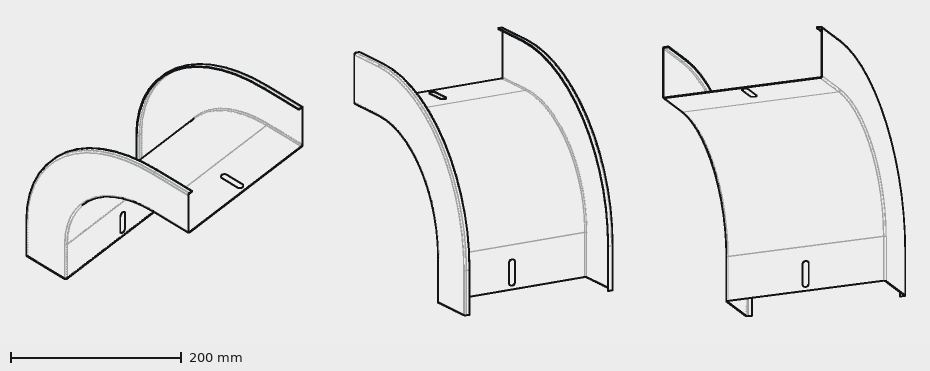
import cadquery as cq
import math

overall_size = 255.0
channel_width = 202.5
channel_depth = 63.5
sheet = 1.3
outer_bend = 2.5
inner_bend = outer_bend - sheet
lip_width = 7.1
outer_radius = 200.0
straight = overall_size - outer_radius

slot_length = 32.1
slot_width = 8.2
slot_from_end = 21.0
recess_depth = sheet / 2


def channel_section():
    """Section at the lower end: lips at X = 0, floor at X = channel_depth."""
    middle = (channel_depth / 2, 0)
    outside = (
        cq.Sketch().push([middle]).rect(channel_depth, channel_width)
        .reset().vertices().fillet(outer_bend).reset()
    )
    inside = (
        cq.Sketch().push([middle])
        .rect(channel_depth - 2 * sheet, channel_width - 2 * sheet)
        .reset().vertices().fillet(inner_bend).reset()
    )
    mouth = cq.Sketch().push([middle]).rect(channel_depth, channel_width - 2 * lip_width).reset()
    floor_strip = (
        cq.Sketch().push([(channel_depth - sheet / 2, 0)])
        .rect(sheet, channel_width - 2 * lip_width).reset()
    )
    return (outside - inside - mouth) + floor_strip


def bend_path():
    """Line, quarter arc and line followed by the lipped edge."""
    half_chord = outer_radius * math.sqrt(0.5)
    arc_middle = (outer_radius - half_chord, straight + half_chord)
    return (
        cq.Workplane("XZ")
        .lineTo(0, straight)
        .threePointArc(arc_middle, (outer_radius, overall_size))
        .lineTo(overall_size, overall_size)
    )


def lower_recess():
    """Cutter sunk into the floor of the vertical straight end."""
    floor_x = channel_depth - sheet
    return (
        cq.Workplane("YZ", origin=(floor_x, 0, slot_from_end))
        .slot2D(slot_length, slot_width, 90)
        .extrude(recess_depth)
    )


def upper_recess():
    """Cutter sunk into the floor of the horizontal straight end."""
    floor_z = overall_size - channel_depth + sheet
    return (
        cq.Workplane("XY", origin=(overall_size - slot_from_end, 0, floor_z))
        .slot2D(slot_length, slot_width)
        .extrude(-recess_depth)
    )


channel = cq.Workplane("XY").placeSketch(channel_section()).sweep(bend_path())
result = channel.cut(lower_recess()).cut(upper_recess())